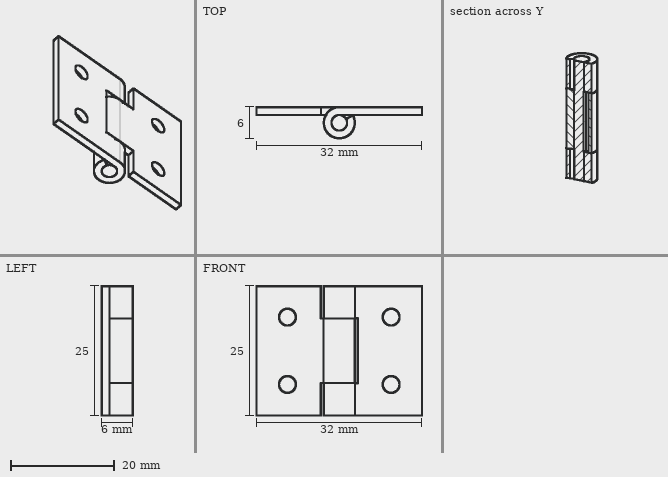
import cadquery as cq
import math


hinge_width = 32.0
hinge_height = 25.0
leaf_thickness = 1.5
pin_radius = 1.5
notch_reach = 3.55
roll_end_angle = 29.0
hole_diameter = 3.2
hole_offset = 10.0
hole_spacing = 13.0

leaf_reach = hinge_width / 2
roll_radius = pin_radius + leaf_thickness
middle_height = hinge_height / 2
end_height = (hinge_height - middle_height) / 2
end_center = (middle_height + end_height) / 2


def on_circle(radius, angle):
    """Point at an angle in degrees around the pin axis."""
    return (radius * math.cos(math.radians(angle)), radius * math.sin(math.radians(angle)))


def rolled_blank():
    """Full-height plate toward +X whose inner edge is rolled around the pin."""
    roll_middle_angle = (90 + 360 + roll_end_angle) / 2
    return (
        cq.Workplane("XY")
        .workplane(offset=-hinge_height / 2)
        .moveTo(leaf_reach, roll_radius)
        .lineTo(0, roll_radius)
        .threePointArc(on_circle(roll_radius, roll_middle_angle), on_circle(roll_radius, roll_end_angle))
        .lineTo(*on_circle(pin_radius, roll_end_angle))
        .threePointArc(on_circle(pin_radius, roll_middle_angle), (0, pin_radius))
        .lineTo(leaf_reach, pin_radius)
        .close()
        .extrude(hinge_height)
    )


def knuckle_notch(center_z, height):
    """Clearance for a knuckle of the other leaf."""
    return cq.Workplane("XY").box(2 * notch_reach, 2 * notch_reach, height).translate((0, 0, center_z))


def screw_holes():
    """Two cylinders through the plate, along Y."""
    return (
        cq.Workplane("XZ", origin=(0, roll_radius, 0))
        .pushPoints([(hole_offset, -hole_spacing / 2), (hole_offset, hole_spacing / 2)])
        .circle(hole_diameter / 2)
        .extrude(leaf_thickness)
    )


def make_outer_leaf():
    """Leaf toward +X with a knuckle at each end."""
    return rolled_blank().cut(screw_holes()).cut(knuckle_notch(0, middle_height))


def make_middle_leaf():
    """Leaf toward -X with a single knuckle in the middle."""
    leaf = rolled_blank().cut(screw_holes())
    for side in (-1, 1):
        leaf = leaf.cut(knuckle_notch(side * end_center, end_height))
    return leaf.mirror("YZ")


def make_pin():
    """Plain pin, flush with both ends of the knuckles."""
    return cq.Workplane("XY").circle(pin_radius).extrude(hinge_height / 2, both=True)


outer_leaf = make_outer_leaf().solids()
middle_leaf = make_middle_leaf().solids()
pin = make_pin().solids()

result = cq.Compound.makeCompound([outer_leaf.val(), middle_leaf.val(), pin.val()])